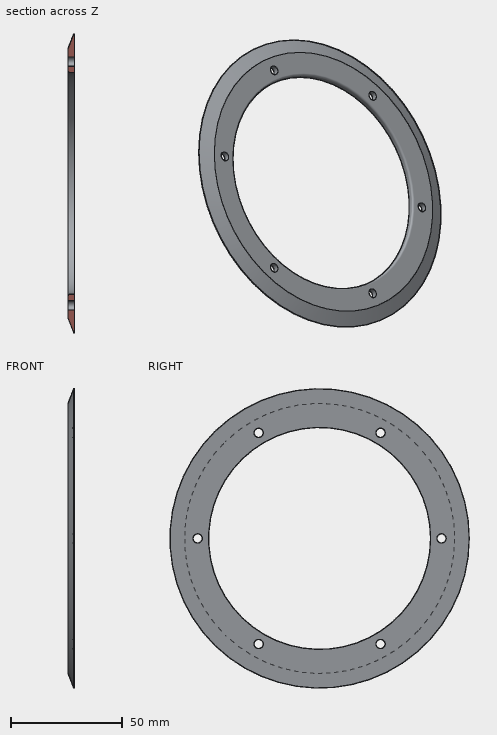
import cadquery as cq

outer_radius = 67.0
bore_radius = 49.6
thickness = 3.0

front_face_radius = 60.5
rim_thickness = 0.4
bore_rounding = 1.0

hole_count = 6
hole_circle_radius = 54.5
hole_diameter = 4.0


def ring_body():
    """Revolve the cross-section, drawn as (axial position, radius), about X."""
    section = (
        cq.Workplane("XY")
        .moveTo(0, bore_radius + bore_rounding)
        .lineTo(0, front_face_radius)
        .lineTo(thickness - rim_thickness, outer_radius)
        .lineTo(thickness, outer_radius)
        .lineTo(thickness, bore_radius)
        .lineTo(bore_rounding, bore_radius)
        .radiusArc((0, bore_radius + bore_rounding), bore_rounding)
        .close()
    )
    return section.revolve(360, (0, 0, 0), (1, 0, 0))


def screw_holes():
    """Cylinders evenly spaced on the hole circle, starting on the Y axis."""
    return (
        cq.Workplane("YZ")
        .polarArray(hole_circle_radius, 0, 360, hole_count)
        .circle(hole_diameter / 2)
        .extrude(thickness)
    )


result = ring_body().cut(screw_holes())